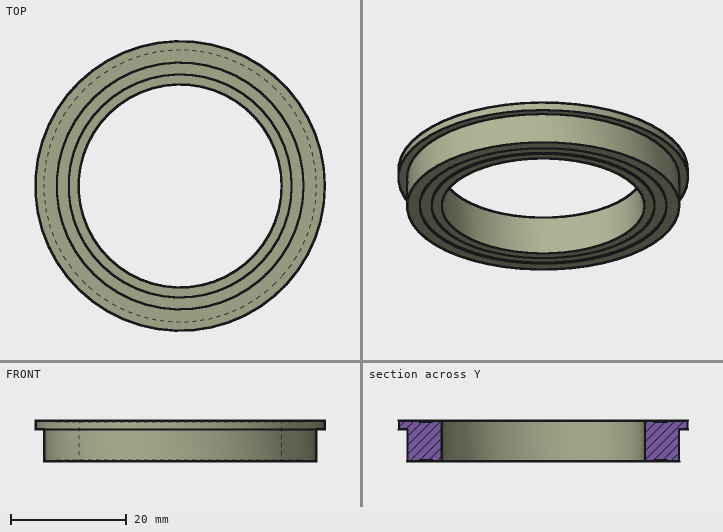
import cadquery as cq

flange_diameter = 50.0
flange_thickness = 1.5
body_diameter = 47.0
total_height = 7.0
bore_diameter = 35.0

recess_outer_diameter = 42.6
recess_inner_diameter = 38.5
recess_depth = 0.2


def disc(diameter, height, base_z):
    return cq.Workplane("XY").workplane(offset=base_z).circle(diameter / 2).extrude(height)


def shield_recess(base_z):
    outer = disc(recess_outer_diameter, recess_depth, base_z)
    return outer.cut(disc(recess_inner_diameter, recess_depth, base_z))


body = disc(body_diameter, total_height, 0)
flange = disc(flange_diameter, flange_thickness, total_height - flange_thickness)
result = body.union(flange).cut(disc(bore_diameter, total_height, 0))

for recess_base in (0, total_height - recess_depth):
    result = result.cut(shield_recess(recess_base))